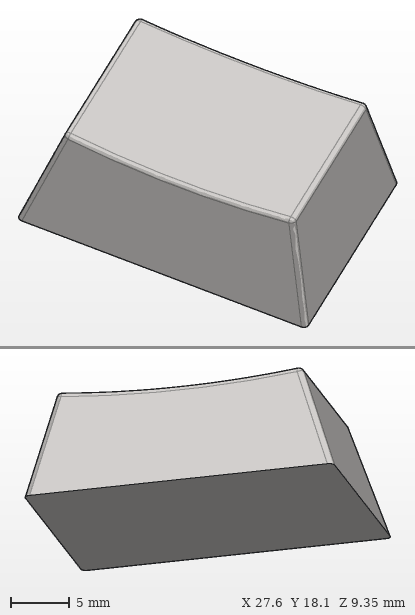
import cadquery as cq
import math

base_width = 27.57
base_depth = 18.1

side_lean = 17.2
front_lean = 20.0
back_lean = 1.2

dish_radius = 100.0
dish_bottom_height = 8.8

edge_radius = 0.5

blank_height = 12.0


def inset(lean, height):
    """Horizontal distance a wall moves inward over the given height."""
    return height * math.tan(math.radians(lean))


def tapered_blank():
    """Four flat leaning walls between the base rectangle and a smaller top rectangle."""
    top_width = base_width - 2 * inset(side_lean, blank_height)
    front_inset = inset(front_lean, blank_height)
    back_inset = inset(back_lean, blank_height)
    top_depth = base_depth - front_inset - back_inset
    top_center_y = (front_inset - back_inset) / 2
    return (
        cq.Workplane("XY")
        .rect(base_width, base_depth)
        .workplane(offset=blank_height)
        .center(0, top_center_y)
        .rect(top_width, top_depth)
        .loft(ruled=True, combine=True)
    )


def dish_cutter():
    """Cylinder along Y whose lowest line is the bottom of the dish."""
    return (
        cq.Workplane("XZ")
        .center(0, dish_bottom_height + dish_radius)
        .circle(dish_radius)
        .extrude(base_depth, both=True)
    )


def round_edges(keycap):
    """Round the four wall corners and the rim of the dish, leaving the base edges sharp."""
    return keycap.edges("not <Z").fillet(edge_radius)


result = round_edges(tapered_blank().cut(dish_cutter()))